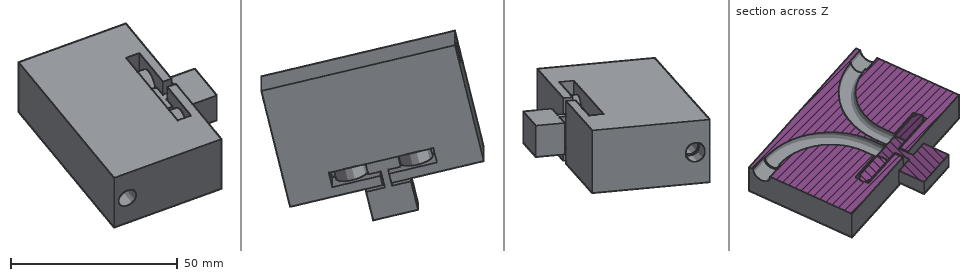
import cadquery as cq

HOUSING_LENGTH = 60.0
HOUSING_DEPTH = 36.85
HOUSING_HEIGHT = 20.0
OVERALL_DEPTH = 47.9

SLOT_LENGTH = 32.4
SLOT_WIDTH = 4.55
BACK_WALL = 2.95
NECK_OPENING = 2.7

SLIDER_HEIGHT = 10.0
HEAD_LENGTH = 13.9
HEAD_DEPTH = 9.05
NECK_WIDTH = 2.2
FOOT_LENGTH = SLIDER_HEIGHT
FOOT_WIDTH = 3.9
FOOT_CLEARANCE = 0.2

PAD_LENGTH = 10.0
PAD_HEIGHT = 15.0
PAD_X = (FOOT_LENGTH + PAD_LENGTH) / 2
NUB_RADIUS = 1.5
NUB_X = PAD_X + PAD_LENGTH / 2

DUCT_Y = 4.55
DUCT_DIAMETER = 5.0
COUNTERBORE_DIAMETER = 6.0
COUNTERBORE_DEPTH = 6.0
BEND_RADIUS = 21.0
DUCT_OUTLET_X = HOUSING_LENGTH / 2 - COUNTERBORE_DEPTH - BEND_RADIUS

SLOT_BACK_Y = HOUSING_DEPTH - BACK_WALL
SLOT_FRONT_Y = SLOT_BACK_Y - SLOT_WIDTH
FOOT_BACK_Y = SLOT_BACK_Y - FOOT_CLEARANCE
FOOT_CENTER_Y = FOOT_BACK_Y - FOOT_WIDTH / 2
HEAD_FRONT_Y = OVERALL_DEPTH - HEAD_DEPTH


def block(length, front_y, back_y, height):
    """Box centred on X and Z between two Y positions."""
    depth = back_y - front_y
    return cq.Workplane("XY").box(length, depth, height).translate((0, front_y + depth / 2, 0))


def make_nub(side):
    return cq.Workplane("YZ", origin=(side * NUB_X, FOOT_CENTER_Y, 0)).sphere(NUB_RADIUS)


def make_duct(side):
    """Counterbore from one end, then a quarter bend and a straight run to the slot."""
    end_x = side * HOUSING_LENGTH / 2
    bend_start_x = end_x - side * COUNTERBORE_DEPTH
    counterbore = (
        cq.Workplane("YZ", origin=(end_x, DUCT_Y, 0))
        .circle(COUNTERBORE_DIAMETER / 2)
        .extrude(-side * COUNTERBORE_DEPTH)
    )
    path = (
        cq.Workplane("XY")
        .moveTo(bend_start_x, DUCT_Y)
        .radiusArc((side * DUCT_OUTLET_X, DUCT_Y + BEND_RADIUS), side * BEND_RADIUS)
        .lineTo(side * DUCT_OUTLET_X, SLOT_FRONT_Y + SLOT_WIDTH / 2)
    )
    bore = cq.Workplane("YZ", origin=(bend_start_x, DUCT_Y, 0)).circle(DUCT_DIAMETER / 2).sweep(path)
    return counterbore.union(bore)


def make_housing():
    housing = block(HOUSING_LENGTH, 0, HOUSING_DEPTH, HOUSING_HEIGHT)
    housing = housing.cut(block(SLOT_LENGTH, SLOT_FRONT_Y, SLOT_BACK_Y, HOUSING_HEIGHT))
    housing = housing.cut(block(NECK_OPENING, SLOT_BACK_Y, HOUSING_DEPTH, HOUSING_HEIGHT))
    for side in (-1, 1):
        housing = housing.cut(make_duct(side))
        housing = housing.cut(make_nub(side))
    return housing


def make_slider():
    head = block(HEAD_LENGTH, HEAD_FRONT_Y, OVERALL_DEPTH, SLIDER_HEIGHT)
    neck = block(NECK_WIDTH, FOOT_BACK_Y, HEAD_FRONT_Y, SLIDER_HEIGHT)
    foot = block(FOOT_LENGTH, FOOT_BACK_Y - FOOT_WIDTH, FOOT_BACK_Y, SLIDER_HEIGHT)
    return head.union(neck).union(foot)


def make_pad(side):
    plate = (
        cq.Workplane("XZ", origin=(side * PAD_X, FOOT_BACK_Y, 0))
        .ellipse(PAD_LENGTH / 2, PAD_HEIGHT / 2)
        .extrude(FOOT_WIDTH)
    )
    return plate.union(make_nub(side))


housing = make_housing()
slider = make_slider()
pads = [make_pad(side) for side in (-1, 1)]

result = cq.Compound.makeCompound([housing.val(), slider.val(), *[pad.val() for pad in pads]])